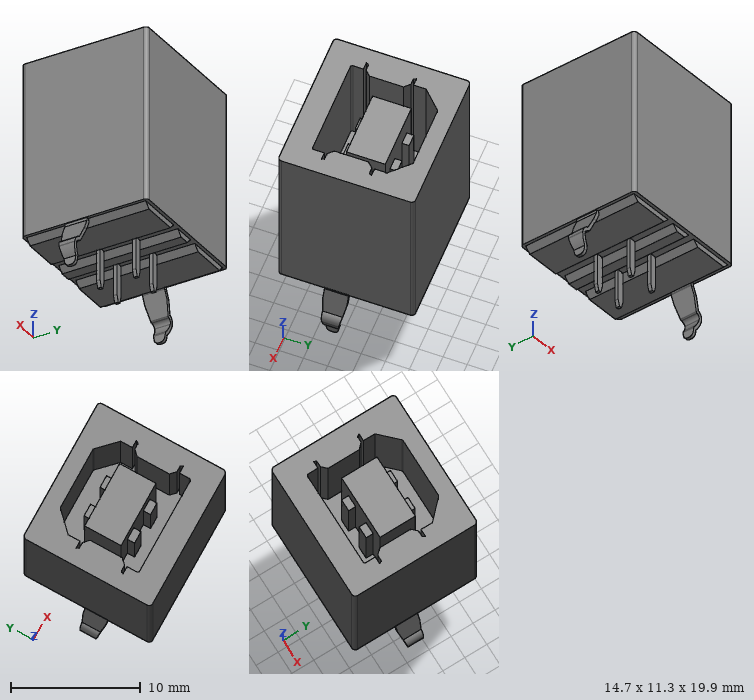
import cadquery as cq
import math


body_width = 12.17
body_depth = 11.3
body_height = 15.55
total_height = 19.95
corner_radius = 0.32

pocket_half_width = 4.19
pocket_back = 4.23
pocket_front = -3.53
pocket_floor = -8.98
corner_cut = 1.55
pocket_round = 0.15

rib_half_width = 3.75
rib_middle_y = -0.44
slot_inner = 1.85
slot_outer = 2.07
slot_reach_inner = 4.7
slot_reach_outer = 4.83

tongue_width = 5.59
tongue_back = 2.0
tongue_front = -1.22
tongue_top = -1.1
contact_pitch = 2.55
contact_width = 1.04
contact_back = 2.6
contact_front = -1.85
contact_top = -3.1

foot_height = 0.5
foot_half_width = 5.8
foot_depth = 10.7
groove_width = 0.62

pin_width = 0.6
pin_thickness = 0.32
pin_rows = (1.8, -1.44)
pin_tip_width = 0.24
pin_tip_length = 0.6
pin_length = 3.45

overall_width = 14.7
clip_thickness = 0.3
clip_middle_y = -0.82
clip_width = 2.0
clip_tip_width = 0.84
clip_root_x = 5.85
clip_root_drop = 0.28
clip_elbow_x = 6.72
clip_bow_radius = 0.54
clip_arm_radius = 1.8
clip_bow_drop = 2.75
clip_foot_x = 6.75
clip_foot_drop = 3.7
clip_taper_drop = 1.08
clip_tip_radius = 0.4

embed = 0.2

body_bottom = -body_height
contact_columns = (-contact_pitch / 2, contact_pitch / 2)
outer_foot_end = contact_pitch / 2 + groove_width / 2
inner_foot_end = contact_pitch / 2 - groove_width / 2


def box_between(x_min, x_max, y_min, y_max, z_min, z_max):
    """Block given by its limits along each axis."""
    return (
        cq.Workplane("XY", origin=(0, 0, z_min))
        .center((x_min + x_max) / 2, (y_min + y_max) / 2)
        .rect(x_max - x_min, y_max - y_min)
        .extrude(z_max - z_min)
    )


def mirrored_outline(right_side):
    """Points of a symmetric outline from its right half, listed from one end to the other."""
    left_side = [(-x, y) for x, y in reversed(right_side)]
    return right_side + left_side


def make_housing():
    """Upright block with rounded vertical corners."""
    housing = box_between(
        -body_width / 2, body_width / 2, -body_depth / 2, body_depth / 2, body_bottom, 0
    )
    return housing.edges("|Z").fillet(corner_radius)


def make_pocket():
    """Cavity with two cut corners, narrowed between the slots by the guide ribs."""
    rib_ramp = pocket_half_width - rib_half_width
    right_side = [
        (pocket_half_width, pocket_front),
        (pocket_half_width, rib_middle_y - slot_inner),
        (rib_half_width, rib_middle_y - slot_inner + rib_ramp),
        (rib_half_width, rib_middle_y + slot_inner - rib_ramp),
        (pocket_half_width, rib_middle_y + slot_inner),
        (pocket_half_width, pocket_back - corner_cut),
        (pocket_half_width - corner_cut, pocket_back),
    ]
    cavity = (
        cq.Workplane("XY", origin=(0, 0, pocket_floor))
        .polyline(mirrored_outline(right_side))
        .close()
        .extrude(-pocket_floor)
    )
    cavity = cavity.edges("|Z and (<Y or >Y)").fillet(pocket_round)
    for side in (-1, 1):
        for end in (-1, 1):
            cavity = cavity.union(make_slot(side, end))
    return cavity


def make_slot(side, end):
    """Thin slot with a slanted end, beside one end of a guide rib."""
    inner_y = rib_middle_y + end * slot_inner
    outer_y = rib_middle_y + end * slot_outer
    points = [
        (side * rib_half_width, outer_y),
        (side * slot_reach_outer, outer_y),
        (side * slot_reach_inner, inner_y),
        (side * pocket_half_width, inner_y),
    ]
    return (
        cq.Workplane("XY", origin=(0, 0, pocket_floor))
        .polyline(points)
        .close()
        .extrude(-pocket_floor)
    )


def make_tongue():
    """Tongue rising from the pocket floor, with four contacts standing along its long faces."""
    tongue = box_between(
        -tongue_width / 2, tongue_width / 2, tongue_front, tongue_back,
        pocket_floor - embed, tongue_top,
    )
    for x in contact_columns:
        contact = box_between(
            x - contact_width / 2, x + contact_width / 2, contact_front, contact_back,
            pocket_floor - embed, contact_top,
        )
        tongue = tongue.union(contact)
    return tongue


def make_foot(x_min, x_max):
    """Bar under the housing whose two long sides slope inward at 45 degrees."""
    foot_bottom = body_bottom - foot_height
    points = [
        (x_min, body_bottom),
        (x_min + foot_height, foot_bottom),
        (x_max - foot_height, foot_bottom),
        (x_max, body_bottom),
    ]
    return (
        cq.Workplane("XZ")
        .polyline(points)
        .close()
        .extrude(foot_depth / 2, both=True)
    )


def make_pin(x, y):
    """Flat pin with a tapered tip."""
    tip = body_bottom - pin_length
    right_side = [
        (pin_tip_width / 2, tip),
        (pin_width / 2, tip + pin_tip_length),
        (pin_width / 2, body_bottom + embed),
    ]
    return (
        cq.Workplane("XZ")
        .polyline(mirrored_outline(right_side))
        .close()
        .extrude(pin_thickness / 2, both=True)
        .translate((x, y, 0))
    )


def make_clip_strip():
    """Bent strip of even thickness: root, slanted arm, bow of two arcs and straight foot."""
    half_thickness = clip_thickness / 2
    bow_tip_x = overall_width / 2 - half_thickness
    bow_x = bow_tip_x - clip_bow_radius
    bow_z = body_bottom - clip_bow_drop
    foot_z = body_bottom - clip_foot_drop
    elbow_z = bow_z + math.sqrt(clip_bow_radius**2 - (clip_elbow_x - bow_x) ** 2)

    return (
        cq.Workplane("XZ")
        .moveTo(clip_root_x, body_bottom + 2 * embed)
        .lineTo(clip_root_x, body_bottom - clip_root_drop)
        .lineTo(clip_elbow_x, elbow_z)
        .radiusArc((bow_tip_x, bow_z), clip_bow_radius)
        .radiusArc((clip_foot_x, foot_z), clip_arm_radius)
        .lineTo(clip_foot_x, -total_height - embed)
        .offset2D(half_thickness)
        .extrude(clip_width, both=True)
    )


def make_clip():
    """Spring strip on the +X side, trimmed to narrow toward a rounded tip."""
    right_side = [
        (clip_tip_width / 2, -total_height),
        (clip_width / 2, body_bottom - clip_taper_drop),
        (clip_width / 2, body_bottom + embed),
    ]
    blank = (
        cq.Workplane("YZ")
        .polyline(mirrored_outline(right_side))
        .close()
        .extrude(overall_width)
        .edges("|X and <Z")
        .fillet(clip_tip_radius)
    )
    return make_clip_strip().intersect(blank).translate((0, clip_middle_y, 0))


result = make_housing().cut(make_pocket()).union(make_tongue())

result = result.union(make_foot(-inner_foot_end, inner_foot_end))
result = result.union(make_foot(outer_foot_end, foot_half_width))
result = result.union(make_foot(-foot_half_width, -outer_foot_end))

for pin_x in contact_columns:
    for pin_y in pin_rows:
        result = result.union(make_pin(pin_x, pin_y))

clip = make_clip()
result = result.union(clip).union(clip.mirror("YZ"))